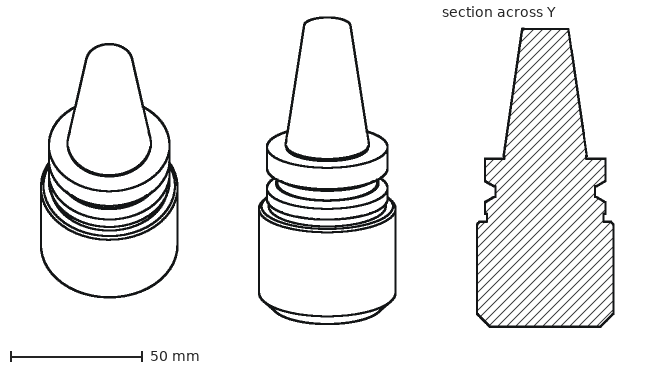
import cadquery as cq
import math

gauge_height = 65.0
taper_length = 48.4
flange_thickness = 21.0
relief_height = 1.0
flange_top = gauge_height - relief_height
flange_bottom = flange_top - flange_thickness
body_height = 40.0

gauge_diameter = 31.75
taper_ratio = 7 / 24
relief_diameter = 31.15
flange_diameter = 45.98
groove_diameter = 38.0
neck_diameter = 44.5
body_diameter = 52.0

gauge_to_groove = 13.6
groove_middle = gauge_height - gauge_to_groove
groove_floor_width = 4.0
groove_mouth_width = 8.0
groove_flank_angle = 30.0
groove_flank_height = (groove_mouth_width - groove_floor_width) / 2
groove_flank_depth = groove_flank_height / math.tan(math.radians(groove_flank_angle))

taper_end_fillet = 0.5
body_top_chamfer = 1.0
nose_chamfer = 5.0


def cylinder(diameter, bottom, top):
    """Upright cylinder on the Z axis between two heights."""
    return cq.Workplane("XY").workplane(offset=bottom).circle(diameter / 2).extrude(top - bottom)


def make_taper():
    """Steep taper shank with a rounded edge at its small end."""
    end_diameter = gauge_diameter - taper_ratio * taper_length
    cone = (
        cq.Workplane("XY")
        .workplane(offset=gauge_height)
        .circle(gauge_diameter / 2)
        .workplane(offset=taper_length)
        .circle(end_diameter / 2)
        .loft(ruled=True)
    )
    return cone.faces(">Z").fillet(taper_end_fillet)


def make_relief():
    """Short cylinder under the taper, bevelled out to the gauge diameter."""
    bevel = (gauge_diameter - relief_diameter) / 2
    profile = [
        (0, flange_top),
        (relief_diameter / 2, flange_top),
        (relief_diameter / 2, gauge_height - bevel),
        (gauge_diameter / 2, gauge_height),
        (0, gauge_height),
    ]
    return cq.Workplane("XZ").polyline(profile).close().revolve(360, (0, 0), (0, 1))


def make_gripper_groove():
    """Ring removed from the flange: flared mouth with a straight-walled floor."""
    mouth_radius = flange_diameter / 2
    shoulder_radius = mouth_radius - groove_flank_depth
    floor_radius = groove_diameter / 2
    half_floor = groove_floor_width / 2
    half_mouth = groove_mouth_width / 2
    profile = [
        (floor_radius, groove_middle - half_floor),
        (shoulder_radius, groove_middle - half_floor),
        (mouth_radius, groove_middle - half_mouth),
        (mouth_radius, groove_middle + half_mouth),
        (shoulder_radius, groove_middle + half_floor),
        (floor_radius, groove_middle + half_floor),
    ]
    return cq.Workplane("XZ").polyline(profile).close().revolve(360, (0, 0), (0, 1))


def make_body():
    """Cylindrical body chamfered at the nose and at its upper rim."""
    body = cylinder(body_diameter, 0, body_height)
    body = body.faces("<Z").chamfer(nose_chamfer)
    return body.faces(">Z").chamfer(body_top_chamfer)


flange = cylinder(flange_diameter, flange_bottom, flange_top).cut(make_gripper_groove())
neck = cylinder(neck_diameter, body_height, flange_bottom)

result = make_body().union(neck).union(flange).union(make_relief()).union(make_taper())